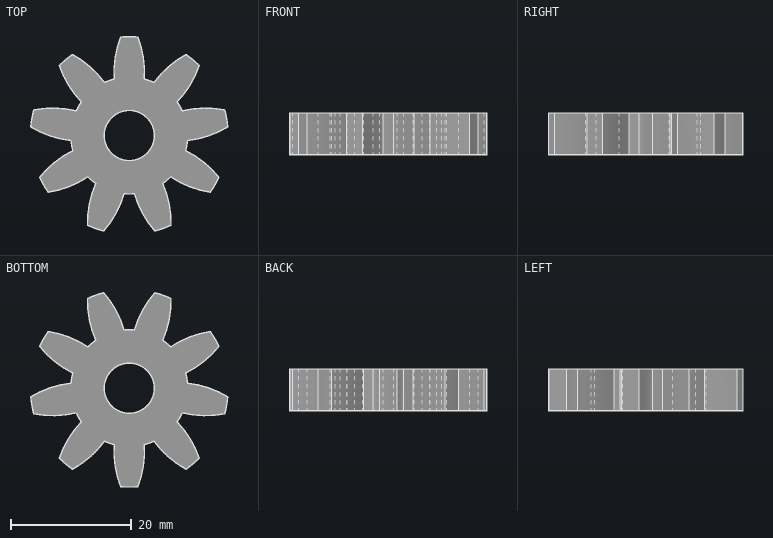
import cadquery as cq
import math

tooth_count = 9
thickness = 7.0
bore_diameter = 8.3
tip_radius = 16.5
root_radius = 9.75

root_half_width = 2.53
flank_half_width = 2.33
tip_half_width = 1.45
flank_height = 13.25


def height_on_circle(radius, half_width):
    """Distance from the axis, along the tooth, of a point on a circle."""
    return math.sqrt(radius**2 - half_width**2)


def make_tooth():
    """Tooth pointing along +Y, with bulged flanks and a rounded tip."""
    root_height = height_on_circle(root_radius, root_half_width)
    tip_height = height_on_circle(tip_radius, tip_half_width)
    return (
        cq.Workplane("XY")
        .moveTo(0, 0)
        .lineTo(root_half_width, root_height)
        .threePointArc((flank_half_width, flank_height), (tip_half_width, tip_height))
        .threePointArc((0, tip_radius), (-tip_half_width, tip_height))
        .threePointArc((-flank_half_width, flank_height), (-root_half_width, root_height))
        .close()
        .extrude(thickness)
    )


gear = cq.Workplane("XY").circle(root_radius).extrude(thickness)
tooth = make_tooth()
for index in range(tooth_count):
    angle = index * 360 / tooth_count
    gear = gear.union(tooth.rotate((0, 0, 0), (0, 0, 1), angle))

bore = cq.Workplane("XY").circle(bore_diameter / 2).extrude(thickness)
result = gear.cut(bore)